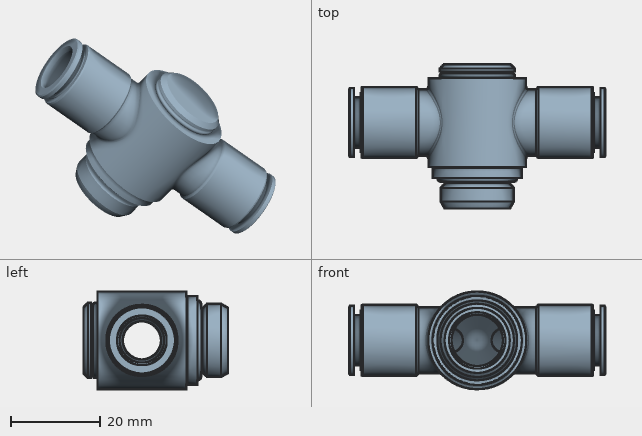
import math

import cadquery as cq


length_x = 57.6
length_y = 32.5

hub_radius = 11.0
hub_length = 20.0
hub_half_length = hub_length / 2

gap_radius = 9.85
gap_width = 0.25
flange_radius = 10.0
flange_width = 2.25
seal_radius = 9.0
seal_width = 0.85
thread_neck_radius = 7.15
seal_section_radius = (seal_radius - thread_neck_radius) / 2
thread_neck_width = 0.25
thread_radius = 8.25
thread_length = 3.05
thread_run_in = thread_radius - thread_neck_radius
tip_radius = 7.3

rim_radius = 8.45
ring_section_radius = 0.6
ring_offset = 0.45
ring_radius = rim_radius - ring_section_radius
rim_end_y = 13.15
rim_chamfer = 1.05
rim_width = 1.7

collar_radius = 7.8
collar_width = 1.15
collar_chamfer_length = 0.25
collar_chamfer_depth = 0.35
collar_neck_radius = 5.7
cap_radius = 6.7
cap_start = 2.6
sleeve_start = 2.75
sleeve_radius = 8.0
sleeve_chamfer_length = 0.35
sleeve_chamfer_depth = 0.2
sleeve_end = 15.1
sleeve_taper_length = 0.45
stem_radius = 7.5
stem_fillet = 0.5

tube_radius = 5.0
tube_depth = sleeve_end
tube_mouth_radius = 5.6
tube_mouth_depth = 1.05
tube_seat_length = 0.45
spigot_mouth_chamfer = 0.6
cross_bore_radius = 4.25
spigot_bore_radius = 5.75
spigot_bore_end_y = 3.35
drill_tip_angle = 140.0


def revolve_about_y(outline):
    """Close an outline whose X is the radius and revolve it about the Y axis."""
    return outline.close().revolve(360, (0, 0, 0), (0, 1, 0))


def revolve_about_x(points):
    """Revolve a closed outline of (x, radius) points about the X axis."""
    return cq.Workplane("XY").polyline(points).close().revolve(360, (0, 0, 0), (1, 0, 0))


def both_arms(arm):
    return arm.union(arm.mirror("YZ"))


half_length_x = length_x / 2
flange_top_y = -hub_half_length - gap_width
flange_face_y = flange_top_y - flange_width
seal_face_y = flange_face_y - seal_width
run_in_y = seal_face_y - thread_neck_width
thread_top_y = run_in_y - thread_run_in
thread_end_y = thread_top_y - thread_length
spigot_end_y = rim_end_y - length_y


def make_hub_with_stems():
    """Hub crossed by the two stems, blended along the curves where they meet."""
    hub = cq.Workplane("XZ").circle(hub_radius).extrude(hub_half_length, both=True)
    stem_reach = half_length_x - sleeve_end
    stems = cq.Workplane("YZ").circle(stem_radius).extrude(stem_reach, both=True)
    meeting_zone = cq.selectors.BoxSelector(
        (-hub_radius, -stem_radius, -hub_radius),
        (hub_radius, stem_radius, hub_radius),
    )
    return hub.union(stems).edges(meeting_zone).edges("not %LINE").fillet(stem_fillet)


def make_spigot():
    outline = (
        cq.Workplane("XY")
        .moveTo(0, 0)
        .lineTo(gap_radius, 0)
        .lineTo(gap_radius, flange_top_y)
        .lineTo(flange_radius, flange_top_y)
        .lineTo(flange_radius, flange_face_y)
        .lineTo(thread_neck_radius, flange_face_y)
        .lineTo(thread_neck_radius, run_in_y)
        .lineTo(thread_radius, thread_top_y)
        .lineTo(thread_radius, thread_end_y)
        .lineTo(tip_radius, spigot_end_y)
        .lineTo(0, spigot_end_y)
    )
    return revolve_about_y(outline)


def make_rim():
    rim_start_y = rim_end_y - rim_width
    outline = (
        cq.Workplane("XY")
        .moveTo(0, 0)
        .lineTo(ring_radius, 0)
        .lineTo(ring_radius, rim_start_y)
        .lineTo(rim_radius, rim_start_y)
        .lineTo(rim_radius, rim_end_y - rim_chamfer)
        .lineTo(rim_radius - rim_chamfer, rim_end_y)
        .lineTo(0, rim_end_y)
    )
    return revolve_about_y(outline)


def make_o_ring(outer_radius, section_radius, centre_y):
    """A torus about the Y axis; its section starts at the innermost point."""
    centre_radius = outer_radius - section_radius
    section_plane = cq.Plane(origin=(centre_radius, centre_y, 0), xDir=(-1, 0, 0), normal=(0, 0, 1))
    section = cq.Workplane(section_plane).circle(section_radius)
    return section.revolve(360, (centre_radius, 0, 0), (centre_radius, 1, 0))


def make_socket():
    outline = [
        (0, 0),
        (0, collar_radius - collar_chamfer_depth),
        (collar_chamfer_length, collar_radius),
        (collar_width, collar_radius),
        (collar_width, collar_neck_radius),
        (cap_start, collar_neck_radius),
        (cap_start, cap_radius),
        (sleeve_start, cap_radius),
        (sleeve_start, sleeve_radius - sleeve_chamfer_depth),
        (sleeve_start + sleeve_chamfer_length, sleeve_radius),
        (sleeve_end, sleeve_radius),
        (sleeve_end + sleeve_taper_length, stem_radius),
        (sleeve_end + sleeve_taper_length, 0),
    ]
    return revolve_about_x([(x - half_length_x, radius) for x, radius in outline])


def make_tube_bore():
    outline = [
        (0, 0),
        (0, tube_mouth_radius),
        (tube_mouth_depth, tube_radius),
        (tube_depth, tube_radius),
        (tube_depth + tube_seat_length, cross_bore_radius),
        (half_length_x, cross_bore_radius),
        (half_length_x, 0),
    ]
    return revolve_about_x([(x - half_length_x, radius) for x, radius in outline])


def make_spigot_bore():
    tip_depth = spigot_bore_radius / math.tan(math.radians(drill_tip_angle / 2))
    outline = (
        cq.Workplane("XY")
        .moveTo(0, spigot_end_y)
        .lineTo(spigot_bore_radius + spigot_mouth_chamfer, spigot_end_y)
        .lineTo(spigot_bore_radius, spigot_end_y + spigot_mouth_chamfer)
        .lineTo(spigot_bore_radius, spigot_bore_end_y)
        .lineTo(0, spigot_bore_end_y + tip_depth)
    )
    return revolve_about_y(outline)


body = make_hub_with_stems().union(make_spigot()).union(make_rim())
body = body.union(make_o_ring(seal_radius, seal_section_radius, seal_face_y + seal_section_radius))
body = body.union(make_o_ring(rim_radius, ring_section_radius, hub_half_length + ring_offset))
body = body.union(both_arms(make_socket()))
result = body.cut(both_arms(make_tube_bore())).cut(make_spigot_bore())